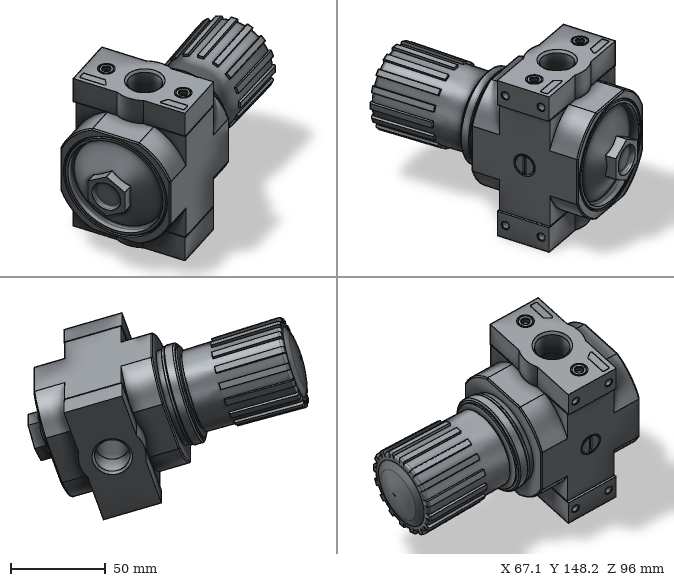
import cadquery as cq
import math


HOUSING_WIDTH = 65.8
HOUSING_LENGTH = 66.1
HOUSING_ROUND_RADIUS = 35.7
HOUSING_CHAMFER = 0.7
CROSS_WIDTH = 31.3
HALF_WIDTH = HOUSING_WIDTH / 2
HALF_LENGTH = HOUSING_LENGTH / 2

PORT_DIAMETER = 18.7
PORT_MOUTH_DIAMETER = 21.3

OVERALL_HEIGHT = 96.0
PLATE_LEFT = -34.2
PLATE_RIGHT = 32.6
PLATE_WIDTH = 32.2
PLATE_BOSS_RADIUS = 18.0
PLATE_TOP = OVERALL_HEIGHT / 2
PLATE_THICKNESS = PLATE_TOP - HALF_WIDTH

SOCKET_DIAMETER = 4.1
SOCKET_MOUTH_DIAMETER = 5.0
PLATE_SOCKET_DEPTH = 6.0
SCREW_SOCKET_DEPTH = 2.7
SOCKET_TIP_DEPTH = 1.2
PLATE_SOCKET_Y = 11.1
PLATE_SOCKET_Z = 40.2

SCREW_DIAMETER = 7.7
SCREW_MOUTH_DIAMETER = 9.3
SCREW_LENGTH = 6.0
SCREW_X = 23.0

LABEL_DEPTH = 0.1
LABEL_LEFT_END = -31.9
LABEL_RIGHT_END = 30.7
LABEL_INNER_X = 15.7
LABEL_SLANT = 3.1
LABEL_NEAR_Y = -9.0
LABEL_FAR_Y = -13.5
LABEL_CORNER_RADIUS = 0.7

PLUG_DIAMETER = 11.4
PLUG_MOUTH_DIAMETER = 13.2
PLUG_LENGTH = 4.5
PLUG_SLOT_LENGTH = 9.8
PLUG_SLOT_WIDTH = 1.8
PLUG_SLOT_DEPTH = 1.2

CAP_RADIUS = 30.5
CAP_EDGE_CHAMFER = 0.6
CAP_RIM_RADIUS = 28.5
CAP_CONE_RADIUS = 27.1
CAP_WALL_ROUND = CAP_RIM_RADIUS - CAP_CONE_RADIUS
CAP_CONE_FOOT_DEPTH = 4.6
CAP_CONE_TOP_RADIUS = 11.0
CAP_CONE_TOP_RISE = 4.6
CAP_FLOOR = 2.2
HEX_ACROSS_FLATS = 22.1
HEX_END_RISE = 10.1
HEX_TURN = 30
HEX_RECESS_DIAMETER = 17.0
HEX_RECESS_ROUND = 1.3
HEX_RECESS_DEPTH = 2.8
CAP_SEAT_DEPTH = CAP_CONE_FOOT_DEPTH + CAP_FLOOR

BONNET_BASE_RADIUS = 26.1
BONNET_BASE_LENGTH = 3.1
BONNET_FLANGE_RADIUS = 27.0
BONNET_FLANGE_LENGTH = 1.3
BONNET_THREAD_RADIUS = 25.2
BONNET_THREAD_LENGTH = 6.8
BONNET_NECK_FOOT_RADIUS = 20.0
BONNET_NECK_TOP_RADIUS = 19.5
BONNET_NECK_LENGTH = 1.6
NUT_RADIUS = 27.4
NUT_LENGTH = 6.0
NUT_LOWER_CHAMFER = 0.6
NUT_UPPER_CHAMFER = 0.9
FLANGE_START_Y = HALF_LENGTH + BONNET_BASE_LENGTH
NUT_START_Y = FLANGE_START_Y + BONNET_FLANGE_LENGTH
THREAD_END_Y = NUT_START_Y + BONNET_THREAD_LENGTH
KNOB_START_Y = THREAD_END_Y + BONNET_NECK_LENGTH

OVERALL_LENGTH = 148.2
KNOB_FOOT_RADIUS = 22.4
KNOB_SHOULDER_RADIUS = 23.1
KNOB_EDGE_ROUND = 1.8
KNOB_RIM_HEIGHT = 55.3
DOME_FOOT_RADIUS = 19.5
DOME_MID_RADIUS = 15.0
DOME_MID_DROP = 1.8
RIB_COUNT = 16
RIB_WIDTH = 3.5
RIB_START_HEIGHT = 16.7
RIB_FOOT_RADIUS = 24.0
RIB_TOP_RADIUS = 24.7
RIB_TOP_ROUND = 1.2
KNOB_TOP_Y = OVERALL_LENGTH - HALF_LENGTH - HEX_END_RISE
KNOB_RIM_Y = KNOB_START_Y + KNOB_RIM_HEIGHT


def disc(radius, start_y, end_y):
    """Cylinder about the Y axis."""
    return cq.Workplane("XZ", origin=(0, start_y, 0)).circle(radius).extrude(start_y - end_y)


def revolve_about_y(outline):
    """Revolve a closed outline of (radius, y) points about the Y axis."""
    return cq.Workplane("XY").polyline(outline).close().revolve(360, (0, 0, 0), (0, 1, 0))


def cone(start, direction, start_radius, end_radius, length):
    """Cone frustum from a start point along a direction."""
    return cq.Workplane(cq.Solid.makeCone(
        start_radius, end_radius, length, cq.Vector(*start), cq.Vector(*direction)))


def chamfered_hole(start, direction, mouth_diameter, diameter, depth):
    """Cutter for a round hole with a 45 degree mouth chamfer."""
    mouth_radius = mouth_diameter / 2
    radius = diameter / 2
    mouth = cone(start, direction, mouth_radius, radius, mouth_radius - radius)
    bore = cq.Solid.makeCylinder(radius, depth, cq.Vector(*start), cq.Vector(*direction))
    return mouth.union(cq.Workplane(bore))


def drilled_socket(start, direction, depth):
    """Cutter for a small blind hole with a chamfered mouth and a conical bottom."""
    hole = chamfered_hole(start, direction, SOCKET_MOUTH_DIAMETER, SOCKET_DIAMETER, depth)
    bottom = cq.Vector(*start) + cq.Vector(*direction) * depth
    return hole.union(cone(bottom.toTuple(), direction, SOCKET_DIAMETER / 2, 0, SOCKET_TIP_DEPTH))


def make_housing():
    barrel = disc(HOUSING_ROUND_RADIUS, -HALF_LENGTH, HALF_LENGTH)
    square = cq.Workplane("XY").box(HOUSING_WIDTH, HOUSING_LENGTH, HOUSING_WIDTH)
    body = barrel.intersect(square).faces("<Y or >Y").chamfer(HOUSING_CHAMFER)
    body = body.union(cq.Workplane("XY").box(HOUSING_WIDTH, CROSS_WIDTH, HOUSING_WIDTH))

    port = cq.Workplane("XY", origin=(0, 0, -HALF_WIDTH)).circle(PORT_DIAMETER / 2).extrude(HOUSING_WIDTH)
    cap_seat = chamfered_hole((0, -HALF_LENGTH, 0), (0, 1, 0), 2 * (CAP_RADIUS + CAP_EDGE_CHAMFER),
                              2 * CAP_RADIUS, CAP_SEAT_DEPTH)
    plug_seat = chamfered_hole((-HALF_WIDTH, 0, 0), (1, 0, 0), PLUG_MOUTH_DIAMETER,
                               PLUG_DIAMETER, PLUG_LENGTH)
    return body.cut(port).cut(cap_seat).cut(plug_seat)


def make_plain_plate():
    """Upper end plate with its port and side sockets. The lower one is its mirror image."""
    length = PLATE_RIGHT - PLATE_LEFT
    middle_x = (PLATE_RIGHT + PLATE_LEFT) / 2
    base = cq.Workplane("XY", origin=(0, 0, HALF_WIDTH))
    plate = base.center(middle_x, 0).rect(length, PLATE_WIDTH).extrude(PLATE_THICKNESS)
    plate = plate.union(base.circle(PLATE_BOSS_RADIUS).extrude(PLATE_THICKNESS))
    plate = plate.cut(chamfered_hole((0, 0, PLATE_TOP), (0, 0, -1), PORT_MOUTH_DIAMETER,
                                     PORT_DIAMETER, PLATE_THICKNESS))
    for y in (-PLATE_SOCKET_Y, PLATE_SOCKET_Y):
        plate = plate.cut(drilled_socket((PLATE_LEFT, y, PLATE_SOCKET_Z), (1, 0, 0), PLATE_SOCKET_DEPTH))
    return plate


def make_label_field(outer_x):
    """Cutter for a shallow trapezoid field between an outer end and its sloping inner side."""
    side = math.copysign(1, outer_x)
    outline = [
        (outer_x, LABEL_NEAR_Y),
        (side * (LABEL_INNER_X + LABEL_SLANT), LABEL_NEAR_Y),
        (side * LABEL_INNER_X, LABEL_FAR_Y),
        (outer_x, LABEL_FAR_Y),
    ]
    field = cq.Workplane("XY", origin=(0, 0, PLATE_TOP)).polyline(outline).close().extrude(-LABEL_DEPTH)
    return field.edges("|Z").fillet(LABEL_CORNER_RADIUS)


def make_upper_plate():
    plate = make_plain_plate()
    for side in (-1, 1):
        plate = plate.cut(chamfered_hole((side * SCREW_X, 0, PLATE_TOP), (0, 0, -1),
                                         SCREW_MOUTH_DIAMETER, SCREW_DIAMETER, SCREW_LENGTH))
    for outer_x in (LABEL_LEFT_END, LABEL_RIGHT_END):
        plate = plate.cut(make_label_field(outer_x))
    return plate


def make_lower_plate():
    return make_plain_plate().mirror("XY")


def make_screw(x):
    top = cq.Workplane("XY", origin=(x, 0, PLATE_TOP))
    screw = top.circle(SCREW_DIAMETER / 2).extrude(-SCREW_LENGTH)
    return screw.cut(drilled_socket((x, 0, PLATE_TOP), (0, 0, -1), SCREW_SOCKET_DEPTH))


def make_plug():
    face = cq.Workplane("YZ", origin=(-HALF_WIDTH, 0, 0))
    plug = face.circle(PLUG_DIAMETER / 2).extrude(PLUG_LENGTH)
    return plug.cut(face.rect(PLUG_SLOT_WIDTH, PLUG_SLOT_LENGTH).extrude(PLUG_SLOT_DEPTH))


def make_cap():
    face_y = -HALF_LENGTH
    seat_y = face_y + CAP_SEAT_DEPTH
    cone_top_y = face_y - CAP_CONE_TOP_RISE
    hex_end_y = face_y - HEX_END_RISE
    cone_foot_y = face_y + CAP_CONE_FOOT_DEPTH
    outline = (
        cq.Workplane("XY")
        .moveTo(0, seat_y)
        .lineTo(CAP_RADIUS, seat_y)
        .lineTo(CAP_RADIUS, face_y + CAP_EDGE_CHAMFER)
        .lineTo(CAP_RADIUS - CAP_EDGE_CHAMFER, face_y)
        .lineTo(CAP_RIM_RADIUS, face_y)
        .lineTo(CAP_RIM_RADIUS, cone_foot_y - CAP_WALL_ROUND)
        .tangentArcPoint((CAP_CONE_RADIUS, cone_foot_y), relative=False)
        .lineTo(CAP_CONE_TOP_RADIUS, cone_top_y)
        .lineTo(0, cone_top_y)
        .close()
    )
    cap = outline.revolve(360, (0, 0, 0), (0, 1, 0))
    hexagon_diameter = HEX_ACROSS_FLATS / math.cos(math.radians(30))
    hexagon = cq.Workplane("XZ", origin=(0, face_y, 0)).polygon(6, hexagon_diameter).extrude(HEX_END_RISE)
    cap = cap.union(hexagon.rotate((0, 0, 0), (0, 1, 0), HEX_TURN))
    recess = disc(HEX_RECESS_DIAMETER / 2, hex_end_y, hex_end_y + HEX_RECESS_DEPTH)
    recess = recess.faces(">Y").edges().fillet(HEX_RECESS_ROUND)
    return cap.cut(recess)


def make_bonnet():
    return revolve_about_y([
        (0, HALF_LENGTH),
        (BONNET_BASE_RADIUS, HALF_LENGTH),
        (BONNET_BASE_RADIUS, FLANGE_START_Y),
        (BONNET_FLANGE_RADIUS, FLANGE_START_Y),
        (BONNET_FLANGE_RADIUS, NUT_START_Y),
        (BONNET_THREAD_RADIUS, NUT_START_Y),
        (BONNET_THREAD_RADIUS, THREAD_END_Y),
        (BONNET_NECK_FOOT_RADIUS, THREAD_END_Y),
        (BONNET_NECK_TOP_RADIUS, KNOB_START_Y),
        (0, KNOB_START_Y),
    ])


def make_ring_nut():
    nut = disc(NUT_RADIUS, NUT_START_Y, NUT_START_Y + NUT_LENGTH)
    nut = nut.faces("<Y").chamfer(NUT_LOWER_CHAMFER).faces(">Y").chamfer(NUT_UPPER_CHAMFER)
    return nut.cut(disc(BONNET_THREAD_RADIUS, NUT_START_Y, THREAD_END_Y))


def make_knob_core():
    """Skirt, tapered grip and domed top, revolved as one outline."""
    dome_half_radius = DOME_MID_RADIUS / 2
    dome_half_drop = DOME_MID_DROP / 4
    outline = (
        cq.Workplane("XY")
        .moveTo(0, KNOB_TOP_Y)
        .threePointArc((dome_half_radius, KNOB_TOP_Y - dome_half_drop),
                       (DOME_MID_RADIUS, KNOB_TOP_Y - DOME_MID_DROP))
        .tangentArcPoint((DOME_FOOT_RADIUS, KNOB_RIM_Y), relative=False)
        .lineTo(KNOB_SHOULDER_RADIUS - KNOB_EDGE_ROUND, KNOB_RIM_Y)
        .tangentArcPoint((KNOB_SHOULDER_RADIUS, KNOB_RIM_Y - KNOB_EDGE_ROUND), relative=False)
        .lineTo(KNOB_FOOT_RADIUS, KNOB_START_Y)
        .lineTo(0, KNOB_START_Y)
        .close()
    )
    return outline.revolve(360, (0, 0, 0), (0, 1, 0))


def make_knob_rib():
    """Grip rib pointing in +Z, from inside the core out to its sloping crest."""
    rib_start_y = KNOB_START_Y + RIB_START_HEIGHT
    inner_radius = DOME_FOOT_RADIUS
    side_outline = (
        cq.Workplane("YZ")
        .moveTo(KNOB_RIM_Y, inner_radius)
        .lineTo(KNOB_RIM_Y, RIB_TOP_RADIUS - RIB_TOP_ROUND)
        .tangentArcPoint((KNOB_RIM_Y - RIB_TOP_ROUND, RIB_TOP_RADIUS), relative=False)
        .lineTo(rib_start_y, RIB_FOOT_RADIUS)
        .lineTo(rib_start_y, inner_radius)
        .close()
    )
    return side_outline.extrude(RIB_WIDTH / 2, both=True)


def make_knob():
    knob = make_knob_core()
    rib = make_knob_rib()
    for index in range(RIB_COUNT):
        knob = knob.union(rib.rotate((0, 0, 0), (0, 1, 0), index * 360 / RIB_COUNT))
    return knob


housing = make_housing()
upper_plate = make_upper_plate()
lower_plate = make_lower_plate()
screws = [make_screw(x) for x in (-SCREW_X, SCREW_X)]
plug = make_plug()
cap = make_cap()
bonnet = make_bonnet()
ring_nut = make_ring_nut()
knob = make_knob()

result = cq.Compound.makeCompound([
    housing.val(),
    upper_plate.val(),
    lower_plate.val(),
    *[screw.val() for screw in screws],
    plug.val(),
    cap.val(),
    bonnet.val(),
    ring_nut.val(),
    knob.val(),
])